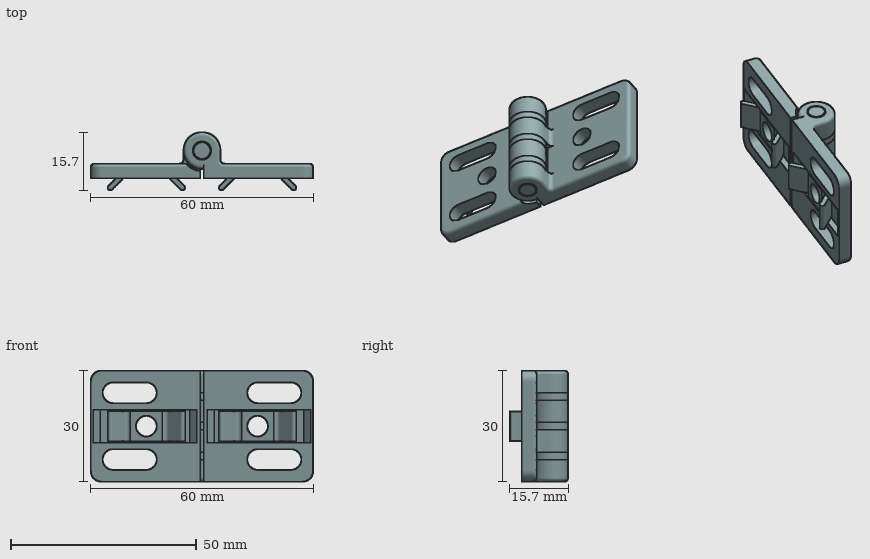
import cadquery as cq
import math

length = 60.0
height = 30.0
depth = 15.7
leaf_gap = 0.9
plate_thickness = 4.0
corner_radius = 2.9
edge_radius = 1.0

axis_y = 7.5
barrel_diameter = 10.0
bore_diameter = 5.0
pin_diameter = 4.85
pin_chamfer = 0.2
clearance_radius = 5.5
knuckle_length = 6.0
knuckle_count = 4
washer_count = knuckle_count - 1
washer_thickness = (height - knuckle_count * knuckle_length) / washer_count
knuckle_pitch = knuckle_length + washer_thickness

opening_x = length / 4
hole_diameter = 5.5
slot_x = 19.5
slot_z = 9.0
slot_length = 14.5

pocket_near_x = 1.4
pocket_far_x = 29.35
pocket_width = 8.9
pocket_depth = 1.85

lug_width = 8.05
lug_reach = 10.45
fin_thickness = 1.45
valley_radius = 0.95
valley_lift = 0.35

half_height = height / 2
half_length = length / 2
plate_edge_x = leaf_gap / 2
barrel_radius = barrel_diameter / 2
lug_projection = depth - axis_y - barrel_radius
diagonal = math.sqrt(0.5)
tiny = 0.005


def cylinder(diameter, z_low, z_high):
    """A round bar on the hinge axis between two heights."""
    bar = cq.Workplane("XY", origin=(0, axis_y, z_low))
    return bar.circle(diameter / 2).extrude(z_high - z_low)


def knuckle_top(index):
    """Upper end of a knuckle, counted from the top of the barrel."""
    return half_height - index * knuckle_pitch


def box_between(x_low, x_high, y_low, y_high, z_low, z_high):
    size = (x_high - x_low, y_high - y_low, z_high - z_low)
    return cq.Workplane("XY").box(*size, centered=False).translate((x_low, y_low, z_low))


def make_plate():
    plate = box_between(plate_edge_x, half_length, 0, plate_thickness, -half_height, half_height)
    return plate.edges("|Y and >X").fillet(corner_radius)


def make_knuckle(index):
    """Barrel section with the web that joins it to the plate."""
    z_high = knuckle_top(index)
    z_low = z_high - knuckle_length
    web = box_between(plate_edge_x, barrel_radius, 0, axis_y, z_low, z_high)
    return cylinder(barrel_diameter, z_low, z_high).union(web)


def round_back_edge(leaf, edge_x):
    """Round the upright edge at this X in the back face, with the edges that run on smoothly from it."""
    region = cq.selectors.BoxSelector(
        (edge_x - tiny, plate_thickness - tiny, -half_height),
        (edge_x + tiny, plate_thickness + tiny, half_height),
    )
    return leaf.edges("|Z").edges(region).fillet(edge_radius)


def cut_clearance(leaf):
    """Hollow the plate beside the washers and the knuckles of the other leaf."""
    for index in range(1, knuckle_count, 2):
        z_high = knuckle_top(index) + washer_thickness
        z_low = max(knuckle_top(index + 1), -half_height)
        leaf = leaf.cut(cylinder(2 * clearance_radius, z_low, z_high))
    return leaf


def cut_pocket(leaf):
    outline = [
        (pocket_near_x, 0),
        (pocket_near_x + pocket_depth, pocket_depth),
        (pocket_far_x - pocket_depth, pocket_depth),
        (pocket_far_x, 0),
    ]
    pocket = cq.Workplane("XY").polyline(outline).close().extrude(pocket_width / 2, both=True)
    return leaf.cut(pocket)


def make_half_lug():
    """Half of the block and one fin; Y is negative in front of the mounting face."""
    tip_radius = fin_thickness / 2
    tip_x = lug_reach - tip_radius
    tip_y = tip_radius - lug_projection
    tip_offset = tip_radius * diagonal

    valley_x = tip_x + tip_y + valley_lift - (tip_radius + valley_radius) / diagonal
    valley_offset = valley_radius * diagonal
    block_half_length = valley_x - math.sqrt(valley_radius**2 - valley_lift**2)
    fin_foot_x = tip_x + tip_y + tip_radius / diagonal - pocket_depth

    half = (
        cq.Workplane("XY")
        .moveTo(0, pocket_depth)
        .lineTo(0, 0)
        .lineTo(block_half_length, 0)
        .threePointArc(
            (valley_x, valley_radius - valley_lift),
            (valley_x + valley_offset, valley_offset - valley_lift),
        )
        .lineTo(tip_x - tip_offset, tip_y - tip_offset)
        .threePointArc(
            (tip_x + tip_offset, tip_y - tip_offset),
            (tip_x + tip_offset, tip_y + tip_offset),
        )
        .lineTo(fin_foot_x, pocket_depth)
        .close()
    )
    return half.extrude(lug_width / 2, both=True)


def add_lugs(leaf):
    half = make_half_lug()
    lugs = half.union(half.mirror("YZ"))
    return leaf.union(lugs.translate((opening_x, 0, 0)))


def cut_openings(leaf):
    """Screw hole through the lug block and two slots."""
    slot_centres = [(slot_x, slot_z), (slot_x, -slot_z)]
    hole = cq.Workplane("XZ").center(opening_x, 0).circle(hole_diameter / 2)
    slots = cq.Workplane("XZ").pushPoints(slot_centres).slot2D(slot_length, hole_diameter)
    return leaf.cut(hole.extrude(-plate_thickness)).cut(slots.extrude(-plate_thickness))


def make_leaf():
    """The +X leaf, which carries the first and third knuckles from the top."""
    leaf = make_plate()
    for index in range(0, knuckle_count, 2):
        leaf = leaf.union(make_knuckle(index))
    for edge_x in (barrel_radius, half_length):
        leaf = round_back_edge(leaf, edge_x)
    leaf = cut_clearance(leaf)
    leaf = cut_pocket(leaf)
    leaf = add_lugs(leaf)
    leaf = cut_openings(leaf)
    return leaf.cut(cylinder(bore_diameter, -half_height, half_height))


def make_washer(index):
    """Spacer ring below the knuckle with the same index."""
    z_high = knuckle_top(index) - knuckle_length
    z_low = z_high - washer_thickness
    return cylinder(barrel_diameter, z_low, z_high).cut(cylinder(pin_diameter, z_low, z_high))


def make_pin():
    pin = cylinder(pin_diameter, -half_height, half_height)
    return pin.faces("<Z or >Z").chamfer(pin_chamfer)


right_leaf = make_leaf()
left_leaf = right_leaf.rotate((0, 0, 0), (0, 1, 0), 180)
pin = make_pin()
washers = [make_washer(index).val() for index in range(washer_count)]

result = cq.Compound.makeCompound([right_leaf.val(), left_leaf.val(), pin.val(), *washers])